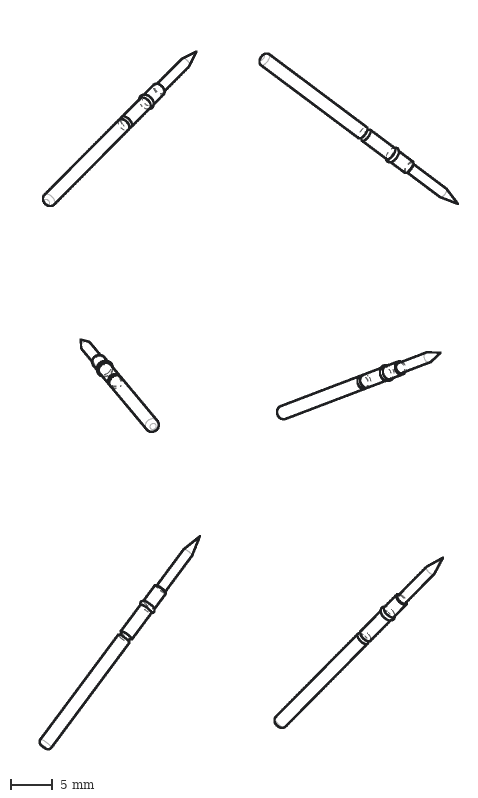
import cadquery as cq

LENGTH = 32.0
TIP_Y = LENGTH / 2
TAIL_Y = -LENGTH / 2

PLUNGER_RADIUS = 0.65
TIP_LENGTH = 2.45
PLUNGER_LENGTH = 8.05

BARREL_RADIUS = 0.83
TAIL_FILLET = 0.45
BARREL_END_Y = TIP_Y - PLUNGER_LENGTH

RING_RADIUS = 1.0
RING_WIDTH = 0.58
RING_DISTANCE = 10.75
RING_Y = TIP_Y - RING_DISTANCE

GROOVE_WIDTH = 0.5
GROOVE_ROOT_RADIUS = 0.65
GROOVE_DISTANCE = 15.33
GROOVE_Y = TIP_Y - GROOVE_DISTANCE


def revolve_profile(profile):
    """Turn a closed (radius, Y) outline around the Y axis."""
    return profile.close().revolve(360, (0, 0, 0), (0, 1, 0))


def make_plunger():
    """Visible plunger: sharp cone and straight shaft."""
    return revolve_profile(
        cq.Workplane("XY")
        .moveTo(0, TIP_Y)
        .lineTo(PLUNGER_RADIUS, TIP_Y - TIP_LENGTH)
        .lineTo(PLUNGER_RADIUS, BARREL_END_Y)
        .lineTo(0, BARREL_END_Y)
    )


def make_barrel():
    """Barrel with its press ring, groove and rounded tail."""
    groove_front = GROOVE_Y + GROOVE_WIDTH / 2
    groove_back = GROOVE_Y - GROOVE_WIDTH / 2
    ring_front = RING_Y + RING_WIDTH / 2
    ring_back = RING_Y - RING_WIDTH / 2
    return revolve_profile(
        cq.Workplane("XY")
        .moveTo(0, BARREL_END_Y)
        .lineTo(BARREL_RADIUS, BARREL_END_Y)
        .lineTo(BARREL_RADIUS, ring_front)
        .threePointArc((RING_RADIUS, RING_Y), (BARREL_RADIUS, ring_back))
        .lineTo(BARREL_RADIUS, groove_front)
        .threePointArc((GROOVE_ROOT_RADIUS, GROOVE_Y), (BARREL_RADIUS, groove_back))
        .lineTo(BARREL_RADIUS, TAIL_Y + TAIL_FILLET)
        .radiusArc((BARREL_RADIUS - TAIL_FILLET, TAIL_Y), TAIL_FILLET)
        .lineTo(0, TAIL_Y)
    )


result = make_plunger().union(make_barrel())